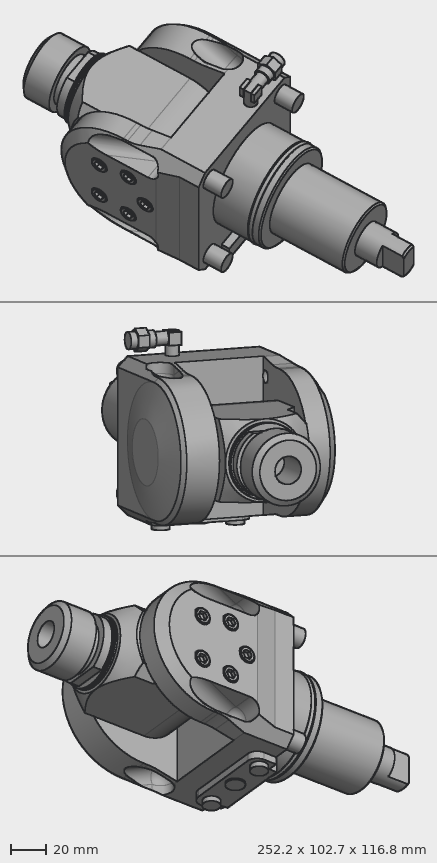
import cadquery as cq
import math


PIVOT_X = -53.7
CHEEK_R = 42.4
FLANGE_HALF_Z = 46.0
RAMP_START_X = -47.0
RAMP_END_X = -30.3
RAMP_BLEND_R = 37.8
FRONT_FACE_Y = -50.0
BACK_FACE_Y = 46.6
CHAMFER_SUM = 86.5
FRONT_ARC_R = 35.8
GAP_FRONT_Y = -30.5
GAP_BACK_Y = 24.0
GAP_WALL_X = -30.0
FLANGE_FRONT_Y = -47.2
TAPER_START_X = -27.5
TAPER_END_X = -13.0

DOME_TOP_R = 19.2
DOME_TOP_Y = 52.2

POCKET_TILT = 25.0
FRONT_POCKET_R = 7.0
FRONT_POCKET_X = -33.0
FRONT_POCKET_Z = 34.5
FRONT_POCKET_DEEP_Y = -36.5
BACK_POCKET_R = 8.0
BACK_POCKET_X = -34.0
BACK_POCKET_Y = 34.5
BACK_POCKET_DEEP_Z = 39.5
POCKET_REACH = 75.6
BOLT_Y = 36.3
BOLT_Z = 35.3
BOLT_R = 6.0
BOLT_LENGTH = 12.0

SCREW_CIRCLE_R = 19.0
SCREW_ANGLES = (0, 67, 131, 229, 293)
SCREW_BORE_R = 5.3
SCREW_BORE_DEPTH = 2.5
SCREW_HEAD_R = 4.5
SCREW_HEAD_RISE = 0.5
SOCKET_CORNERS = 6.0
SOCKET_DEPTH = 2.5

HEAD_R = 24.0
HEAD_FRONT_X = -105.0
HEAD_CONE_R = 42.9
HEAD_BEVEL = 6.5
HEAD_BEVEL_END_X = -82.0

NOSE_TIP_X = -140.0
NOSE_TIP_R = 17.5
NOSE_R = 21.0
NOSE_CHAMFER_X = 2.8
NOSE_END_X = -119.8
NECK_R = 16.1
WRENCH_START_X = -114.5
WRENCH_END_X = -108.7
WRENCH_HALF_Z = 18.0
RING_R = 22.2
RING_GROOVE_R = 21.7
RING_GROOVE_START_X = -107.7
RING_GROOVE_END_X = -107.0
RING_END_X = -105.7
BORE_R = 8.0
BORE_DEPTH = 25.2

SPIGOT_R = 32.3
SPIGOT_END_X = 32.0
SPIGOT_CHAMFER = 1.0
SEAL_START_X = 23.5
SEAL_END_X = 26.7
SEAL_RISE = 0.5
SEAL_GROOVE_DEPTH = 1.0
SEAL_CLEARANCE = 0.3
SHANK_R = 22.5
SHANK_END_X = 82.7
SHANK_CHAMFER = 1.0
TANG_R = 11.0
TANG_END_X = 112.2
TANG_CHAMFER = 1.3
TANG_FLAT_X = 97.5
TANG_THICKNESS = 10.0

PLATE_FRONT_X = -15.1
PLATE_BACK_X = 5.3
PLATE_HALF_Y = 30.3
PLATE_BOTTOM_Z = -50.7
PLATE_LIP_TOP_Z = -41.0
PLATE_LIP_HALF_Y = 23.7
PLATE_CORNER_R = 6.5
PLATE_SCREW_X = -6.5
PLATE_SCREW_Y = 23.0
PLATE_SCREW_R = 5.3
PLATE_SCREW_BOTTOM_Z = -54.0
PLATE_PLUG_R = 5.8
PLATE_PLUG_BOTTOM_Z = -51.7

ELBOW_X = -6.5
ELBOW_Y = 16.0
ELBOW_Z = 56.0
ELBOW_R = 4.0
EAR_OFFSET = 3.8
EAR_THICKNESS = 2.5
EAR_SIZE = 7.5
COLLAR_R = 5.0
COLLAR_START_Y = 27.5
NUT_START_Y = 32.0
NUT_END_Y = 38.8
COLLAR_END_Y = 43.0
NUT_CORNERS = 13.5


def box(x0, x1, y0, y1, z0, z1):
    return cq.Workplane("XY").box(x1 - x0, y1 - y0, z1 - z0, centered=False).translate((x0, y0, z0))


def cylinder(start, direction, radius, length):
    return cq.Workplane(cq.Solid.makeCylinder(radius, length, cq.Vector(*start), cq.Vector(*direction)))


def turned_about_x(points):
    """Revolve an (x, radius) outline about the spindle axis."""
    return cq.Workplane("XY").polyline(points).close().revolve(360, (0, 0, 0), (1, 0, 0))


def turned_about_pivot(points):
    """Revolve a (radius, y) outline about the swivel axis."""
    shape = cq.Workplane("XY").polyline(points).close().revolve(360, (0, 0, 0), (0, 1, 0))
    return shape.translate((PIVOT_X, 0, 0))


def fork_outline():
    """Side outline: half round nose, short flats, then ramps up to the flange."""
    outline = (
        cq.Workplane("XZ", origin=(0, BACK_FACE_Y, 0))
        .moveTo(PIVOT_X, CHEEK_R)
        .threePointArc((PIVOT_X - CHEEK_R, 0), (PIVOT_X, -CHEEK_R))
        .lineTo(RAMP_START_X, -CHEEK_R)
        .lineTo(RAMP_END_X, -FLANGE_HALF_Z)
        .lineTo(0, -FLANGE_HALF_Z)
        .lineTo(0, FLANGE_HALF_Z)
        .lineTo(RAMP_END_X, FLANGE_HALF_Z)
        .lineTo(RAMP_START_X, CHEEK_R)
        .close()
        .extrude(BACK_FACE_Y - FRONT_FACE_Y)
    )
    ramp_feet = cq.selectors.BoxSelector(
        (PIVOT_X / 2 + RAMP_START_X / 2, FRONT_FACE_Y, -FLANGE_HALF_Z),
        (RAMP_START_X / 2 + RAMP_END_X / 2, BACK_FACE_Y, FLANGE_HALF_Z),
    )
    return outline.edges("|Y").edges(ramp_feet).fillet(RAMP_BLEND_R)


def chamfer_envelope():
    """Round chamfered disc at the pivot, carried back as an eight-sided bar."""
    front_z = CHAMFER_SUM + FRONT_FACE_Y
    back_z = CHAMFER_SUM - BACK_FACE_Y
    side_y = CHAMFER_SUM - FLANGE_HALF_Z
    disc_y = CHAMFER_SUM - CHEEK_R
    bar = (
        cq.Workplane("YZ", origin=(PIVOT_X, 0, 0))
        .polyline([
            (FRONT_FACE_Y, front_z), (-side_y, FLANGE_HALF_Z), (side_y, FLANGE_HALF_Z), (BACK_FACE_Y, back_z),
            (BACK_FACE_Y, -back_z), (side_y, -FLANGE_HALF_Z), (-side_y, -FLANGE_HALF_Z), (FRONT_FACE_Y, -front_z),
        ])
        .close()
        .extrude(-PIVOT_X)
    )
    disc = turned_about_pivot([
        (0, FRONT_FACE_Y), (FRONT_ARC_R, FRONT_FACE_Y), (CHEEK_R, -disc_y),
        (CHEEK_R, disc_y), (back_z, BACK_FACE_Y), (0, BACK_FACE_Y),
    ])
    return bar.union(disc)


def make_fork():
    fork = fork_outline().intersect(chamfer_envelope())
    gap = box(PIVOT_X - 2 * CHEEK_R, GAP_WALL_X, GAP_FRONT_Y, GAP_BACK_Y, -2 * CHEEK_R, 2 * CHEEK_R)
    taper = (
        cq.Workplane("XY", origin=(0, 0, -FLANGE_HALF_Z))
        .polyline([
            (TAPER_START_X, FRONT_FACE_Y), (TAPER_END_X, FLANGE_FRONT_Y),
            (0, FLANGE_FRONT_Y), (0, FRONT_FACE_Y),
        ])
        .close()
        .extrude(2 * FLANGE_HALF_Z)
    )
    base_r = CHAMFER_SUM - BACK_FACE_Y
    dome = turned_about_pivot([
        (0, GAP_BACK_Y), (base_r, GAP_BACK_Y), (base_r, BACK_FACE_Y),
        (DOME_TOP_R, DOME_TOP_Y), (0, DOME_TOP_Y),
    ])
    return fork.cut(gap).cut(taper).union(dome)


def tilted_pocket(radius):
    """Pocket cutter opening toward +Z: a ball-ended tool tilted about Y, swept straight up.

    The origin is the centre of the ball at the deep end.
    """
    angle = math.radians(POCKET_TILT)
    run = POCKET_REACH * math.cos(angle)
    rise = POCKET_REACH * math.sin(angle)
    ball = cq.Workplane("XY").sphere(radius)
    ramp = cylinder((0, 0, 0), (-run, 0, rise), radius, POCKET_REACH)
    end_wall = cylinder((0, 0, 0), (0, 0, 1), radius, rise)
    side_walls = (
        cq.Workplane("XZ", origin=(0, radius, 0))
        .polyline([(0, 0), (-run, rise), (0, rise)])
        .close()
        .extrude(2 * radius)
    )
    return side_walls.union(ramp).union(end_wall).union(ball)


def cut_pockets(body):
    front = tilted_pocket(FRONT_POCKET_R).rotate((0, 0, 0), (1, 0, 0), 90)
    front = front.translate((FRONT_POCKET_X, FRONT_POCKET_DEEP_Y, FRONT_POCKET_Z))
    back = tilted_pocket(BACK_POCKET_R).translate((BACK_POCKET_X, BACK_POCKET_Y, BACK_POCKET_DEEP_Z))
    for pocket in (front, back):
        body = body.cut(pocket).cut(pocket.mirror("XY"))
    return body


def add_mounting_bolts(body):
    for y in (-BOLT_Y, BOLT_Y):
        for z in (-BOLT_Z, BOLT_Z):
            body = body.union(cylinder((0, y, z), (1, 0, 0), BOLT_R, BOLT_LENGTH))
    return body


def add_cover_screws(body):
    floor_y = FRONT_FACE_Y + SCREW_BORE_DEPTH
    top_y = FRONT_FACE_Y - SCREW_HEAD_RISE
    for angle in SCREW_ANGLES:
        x = PIVOT_X + SCREW_CIRCLE_R * math.cos(math.radians(angle))
        z = SCREW_CIRCLE_R * math.sin(math.radians(angle))
        bore = cylinder((x, floor_y, z), (0, -1, 0), SCREW_BORE_R, SCREW_BORE_DEPTH)
        head = cylinder((x, floor_y, z), (0, -1, 0), SCREW_HEAD_R, floor_y - top_y)
        socket = cq.Workplane("XZ", origin=(x, top_y, z)).polygon(6, SOCKET_CORNERS).extrude(-SOCKET_DEPTH)
        body = body.cut(bore).union(head.cut(socket))
    return body


def make_head():
    """Swivel block with a round back end, a conical front and two bevelled front edges."""
    width = GAP_BACK_Y - GAP_FRONT_Y
    block = box(HEAD_FRONT_X, PIVOT_X, GAP_FRONT_Y, GAP_BACK_Y, -HEAD_R, HEAD_R)
    block = block.union(cylinder((PIVOT_X, GAP_FRONT_Y, 0), (0, 1, 0), HEAD_R, width))
    cone_end_x = HEAD_FRONT_X + HEAD_CONE_R - HEAD_R
    cone = turned_about_x([
        (HEAD_FRONT_X, 0), (HEAD_FRONT_X, HEAD_R), (cone_end_x, HEAD_CONE_R),
        (PIVOT_X + HEAD_R, HEAD_CONE_R), (PIVOT_X + HEAD_R, 0),
    ])
    bevel = (
        cq.Workplane("YZ", origin=(HEAD_FRONT_X, 0, 0))
        .polyline([
            (GAP_FRONT_Y, HEAD_R), (GAP_FRONT_Y + HEAD_BEVEL, HEAD_R), (GAP_FRONT_Y, HEAD_R - HEAD_BEVEL),
        ])
        .close()
        .extrude(HEAD_BEVEL_END_X + HEAD_BEVEL - HEAD_FRONT_X)
    )
    bevel_plan = (
        cq.Workplane("XY")
        .polyline([
            (HEAD_FRONT_X, GAP_FRONT_Y), (HEAD_BEVEL_END_X + HEAD_BEVEL, GAP_FRONT_Y),
            (HEAD_BEVEL_END_X, GAP_FRONT_Y + HEAD_BEVEL), (HEAD_FRONT_X, GAP_FRONT_Y + HEAD_BEVEL),
        ])
        .close()
        .extrude(HEAD_R)
    )
    bevel = bevel.intersect(bevel_plan)
    return block.intersect(cone).cut(bevel).cut(bevel.mirror("XY"))


def make_nose():
    nose = turned_about_x([
        (NOSE_TIP_X, 0), (NOSE_TIP_X, NOSE_TIP_R), (NOSE_TIP_X + NOSE_CHAMFER_X, NOSE_R),
        (NOSE_END_X, NOSE_R), (NOSE_END_X, NECK_R), (WRENCH_END_X, NECK_R),
        (WRENCH_END_X, RING_R), (RING_GROOVE_START_X, RING_R), (RING_GROOVE_START_X, RING_GROOVE_R),
        (RING_GROOVE_END_X, RING_GROOVE_R), (RING_GROOVE_END_X, RING_R), (RING_END_X, RING_R),
        (RING_END_X, NOSE_R), (HEAD_FRONT_X, NOSE_R), (HEAD_FRONT_X, 0),
    ])
    wrench_length = WRENCH_END_X - WRENCH_START_X
    wrench = cylinder((WRENCH_START_X, 0, 0), (1, 0, 0), NOSE_R, wrench_length)
    flats = box(WRENCH_START_X, WRENCH_END_X, -NOSE_R, NOSE_R, -WRENCH_HALF_Z, WRENCH_HALF_Z)
    nose = nose.union(wrench.intersect(flats))
    return nose.cut(cylinder((NOSE_TIP_X, 0, 0), (1, 0, 0), BORE_R, BORE_DEPTH))


def make_shank():
    groove_r = SPIGOT_R - SEAL_GROOVE_DEPTH
    seal_mid_x = (SEAL_START_X + SEAL_END_X) / 2
    shank = (
        cq.Workplane("XY")
        .moveTo(0, 0)
        .lineTo(0, SPIGOT_R)
        .lineTo(SEAL_START_X, SPIGOT_R)
        .lineTo(SEAL_START_X, groove_r)
        .lineTo(SEAL_START_X + SEAL_CLEARANCE, groove_r)
        .threePointArc((seal_mid_x, SPIGOT_R + SEAL_RISE), (SEAL_END_X - SEAL_CLEARANCE, groove_r))
        .lineTo(SEAL_END_X, groove_r)
        .lineTo(SEAL_END_X, SPIGOT_R)
        .lineTo(SPIGOT_END_X - SPIGOT_CHAMFER, SPIGOT_R)
        .lineTo(SPIGOT_END_X, SPIGOT_R - SPIGOT_CHAMFER)
        .lineTo(SPIGOT_END_X, SHANK_R)
        .lineTo(SHANK_END_X - SHANK_CHAMFER, SHANK_R)
        .lineTo(SHANK_END_X, SHANK_R - SHANK_CHAMFER)
        .lineTo(SHANK_END_X, TANG_R)
        .lineTo(TANG_END_X - TANG_CHAMFER, TANG_R)
        .lineTo(TANG_END_X, TANG_R - TANG_CHAMFER)
        .lineTo(TANG_END_X, 0)
        .close()
        .revolve(360, (0, 0, 0), (1, 0, 0))
    )
    for y0, y1 in ((TANG_THICKNESS / 2, TANG_R), (-TANG_R, -TANG_THICKNESS / 2)):
        shank = shank.cut(box(TANG_FLAT_X, TANG_END_X, y0, y1, -TANG_R, TANG_R))
    return shank


def make_locating_plate():
    """L-shaped plate hooked over the lower rear edge of the flange, with two screws and a plug."""
    plate = box(PLATE_FRONT_X, 0, -PLATE_HALF_Y, PLATE_HALF_Y, PLATE_BOTTOM_Z, -FLANGE_HALF_Z)
    plate = plate.edges("|Z and <X").fillet(PLATE_CORNER_R)
    lip = box(0, PLATE_BACK_X, -PLATE_LIP_HALF_Y, PLATE_LIP_HALF_Y, PLATE_BOTTOM_Z, PLATE_LIP_TOP_Z)
    plate = plate.union(lip)
    fasteners = (
        (-PLATE_SCREW_Y, PLATE_SCREW_R, PLATE_SCREW_BOTTOM_Z),
        (0, PLATE_PLUG_R, PLATE_PLUG_BOTTOM_Z),
        (PLATE_SCREW_Y, PLATE_SCREW_R, PLATE_SCREW_BOTTOM_Z),
    )
    for y, radius, bottom in fasteners:
        plate = plate.union(cylinder((PLATE_SCREW_X, y, bottom), (0, 0, 1), radius, -FLANGE_HALF_Z - bottom))
    return plate


def make_elbow():
    """Mitred pipe elbow rising from the flange, with two ears, a collar and a union nut along Y."""
    stem_height = ELBOW_Z - FLANGE_HALF_Z
    stem_start = (ELBOW_X, ELBOW_Y, FLANGE_HALF_Z)
    tube_start = (ELBOW_X, ELBOW_Y - ELBOW_R, ELBOW_Z)
    corner = cylinder(stem_start, (0, 0, 1), ELBOW_R, stem_height + ELBOW_R)
    corner = corner.intersect(cylinder(tube_start, (0, 1, 0), ELBOW_R, 2 * ELBOW_R))
    stem = cylinder(stem_start, (0, 0, 1), ELBOW_R, stem_height)
    tube = cylinder((ELBOW_X, ELBOW_Y, ELBOW_Z), (0, 1, 0), ELBOW_R, COLLAR_START_Y - ELBOW_Y)
    elbow = stem.union(tube).union(corner)
    for side in (-1, 1):
        ear = cq.Workplane("XY").box(EAR_THICKNESS, EAR_SIZE, EAR_SIZE)
        elbow = elbow.union(ear.translate((ELBOW_X + side * EAR_OFFSET, ELBOW_Y, ELBOW_Z)))
    collar = cylinder((ELBOW_X, COLLAR_START_Y, ELBOW_Z), (0, 1, 0), COLLAR_R, COLLAR_END_Y - COLLAR_START_Y)
    nut = (
        cq.Workplane("XZ", origin=(ELBOW_X, NUT_START_Y, ELBOW_Z))
        .transformed(rotate=(0, 0, 90))
        .polygon(6, NUT_CORNERS)
        .extrude(NUT_START_Y - NUT_END_Y)
    )
    return elbow.union(collar).union(nut)


body = cut_pockets(make_fork())
body = add_mounting_bolts(body)
body = add_cover_screws(body)
for component in (make_head(), make_nose(), make_shank(), make_locating_plate(), make_elbow()):
    body = body.union(component)

result = body